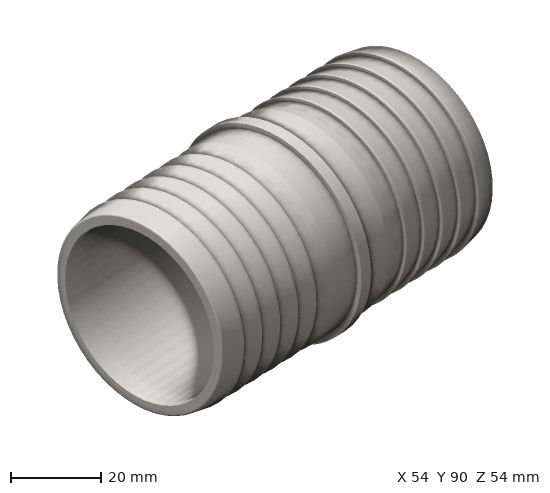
import cadquery as cq

half_length = 45.0
bore_radius = 22.0
body_radius = 25.6
collar_radius = 27.0
collar_width = 3.2

barb_count = 5
barb_pitch = 6.0
barb_root_radius = 24.6
crest_width = 0.6
tip_fillet = 0.5

barb_row_length = (barb_count + 1) * barb_pitch
body_half_length = half_length - barb_row_length


def revolve_about_y(profile):
    """Revolve a closed (y, radius) profile in the YZ plane about the Y axis."""
    return profile.close().revolve(360, (0, 0, 0), (1, 0, 0))


def make_barbed_half():
    """Half of the body, from the mid-plane to the end at +Y."""
    profile = (
        cq.Workplane("YZ")
        .moveTo(0, bore_radius)
        .lineTo(0, body_radius)
        .lineTo(body_half_length, body_radius)
    )
    for i in range(1, barb_count + 1):
        step_y = body_half_length + i * barb_pitch
        profile = (
            profile.lineTo(step_y, barb_root_radius)
            .lineTo(step_y, body_radius)
            .lineTo(step_y + crest_width, body_radius)
        )
    profile = profile.lineTo(half_length, barb_root_radius).lineTo(half_length, bore_radius)
    half = revolve_about_y(profile)
    outer_rim = half.faces(">Y").edges(cq.selectors.RadiusNthSelector(-1))
    return outer_rim.fillet(tip_fillet)


def make_collar():
    """Ring around the middle of the body."""
    profile = (
        cq.Workplane("YZ")
        .moveTo(-collar_width / 2, bore_radius)
        .lineTo(-collar_width / 2, collar_radius)
        .lineTo(collar_width / 2, collar_radius)
        .lineTo(collar_width / 2, bore_radius)
    )
    return revolve_about_y(profile)


barbed_half = make_barbed_half()
result = barbed_half.union(barbed_half.mirror("XZ")).union(make_collar()).clean()